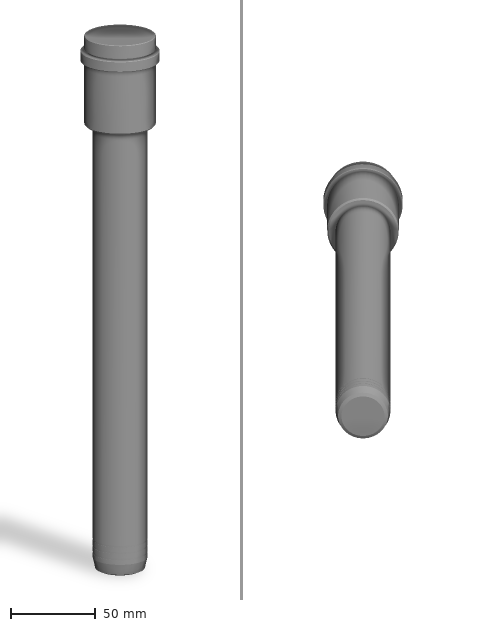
import cadquery as cq

total_length = 330.0
head_length = 55.5
flange_top_depth = 9.2
flange_thickness = 6.5

flange_diameter = 47.0
head_diameter = 42.2
shaft_diameter = 32.5
foot_diameter = 29.5

head_chamfer = 1.0
edge_break = 0.4
neck_width = 1.0
neck_depth = 1.0
foot_length = 7.5
foot_chamfer_height = 1.0
foot_chamfer_inset = 2.0
oil_groove_count = 3
lowest_oil_groove = 11.0
oil_groove_pitch = 4.0
oil_groove_width = 1.0
oil_groove_depth = 0.15


def disc(diameter, bottom, height):
    """Cylinder on the Z axis."""
    return cq.Workplane("XY", origin=(0, 0, bottom)).circle(diameter / 2).extrude(height)


def ring_groove(diameter, depth, bottom, width):
    """Ring that cuts a square groove into a cylinder of the given diameter."""
    return disc(diameter + 2 * depth, bottom, width).cut(disc(diameter - 2 * depth, bottom, width))


def make_foot():
    """Tapered lead-in below the shaft, with a chamfered end."""
    shaft_radius = shaft_diameter / 2
    foot_radius = foot_diameter / 2
    return (
        cq.Workplane("XZ")
        .moveTo(0, 0)
        .lineTo(foot_radius - foot_chamfer_inset, 0)
        .lineTo(foot_radius, foot_chamfer_height)
        .lineTo(shaft_radius, foot_length)
        .lineTo(0, foot_length)
        .close()
        .revolve(360, (0, 0, 0), (0, 1, 0))
    )


def make_head():
    """Chamfered head with a flange and a relief groove above it."""
    head = disc(head_diameter, total_length - head_length, head_length)
    head = head.faces("<Z").edges().chamfer(head_chamfer)
    head = head.faces(">Z").edges().chamfer(edge_break)
    flange_top = total_length - flange_top_depth
    flange = disc(flange_diameter, flange_top - flange_thickness, flange_thickness)
    flange = flange.faces("<Z or >Z").edges().chamfer(edge_break)
    neck = ring_groove(head_diameter, neck_depth, flange_top, neck_width)
    return head.union(flange).cut(neck)


shaft = disc(shaft_diameter, foot_length, total_length - head_length - foot_length)
for index in range(oil_groove_count):
    groove_center = lowest_oil_groove + index * oil_groove_pitch
    groove_bottom = groove_center - oil_groove_width / 2
    shaft = shaft.cut(ring_groove(shaft_diameter, oil_groove_depth, groove_bottom, oil_groove_width))

result = make_foot().union(shaft).union(make_head())